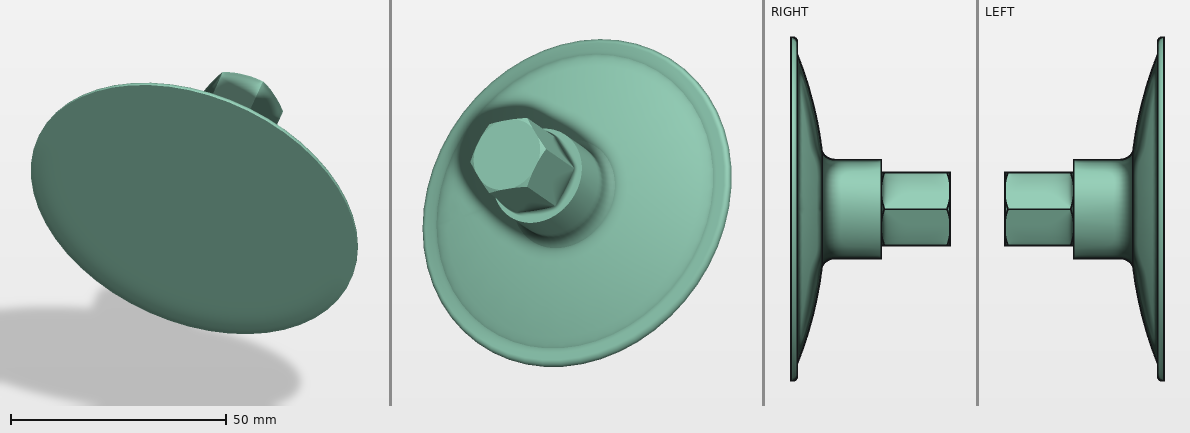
import cadquery as cq
import math


total_length = 37.0
disc_radius = 39.9

rim_thickness = 1.5
rim_round = 1.2

dome_outer_radius = 35.85
dome_mid_radius = 28.3
dome_mid_height = 4.15
dome_inner_radius = 13.25
dome_inner_height = 7.3

neck_radius = 23.0 / 2
neck_flare_height = 10.1

hex_length = 16.0
hex_across_flats = 17.0
hex_chamfer_radius = 8.6
hex_chamfer_angle = 30.0

hex_base = total_length - hex_length
hex_corner_radius = hex_across_flats / math.sqrt(3)
chamfer_height = (hex_corner_radius - hex_chamfer_radius) * math.tan(math.radians(hex_chamfer_angle))


def revolve_about_y(profile):
    return profile.close().revolve(360, (0, 0, 0), (0, 1, 0))


def make_cup():
    """Disc, dome and neck as one turned body."""
    profile = (
        cq.Workplane("XY")
        .lineTo(disc_radius, 0)
        .lineTo(disc_radius, rim_thickness - rim_round)
        .tangentArcPoint((disc_radius - rim_round, rim_thickness), relative=False)
        .lineTo(dome_outer_radius, rim_thickness)
        .threePointArc((dome_mid_radius, dome_mid_height), (dome_inner_radius, dome_inner_height))
    )
    flare_width = dome_inner_radius - neck_radius
    flare_drop = neck_flare_height - dome_inner_height
    flare_radius = (flare_width**2 + flare_drop**2) / (2 * flare_width)
    half_sweep = math.atan2(flare_width, flare_drop)
    flare_middle = (
        neck_radius + flare_radius * (1 - math.cos(half_sweep)),
        neck_flare_height - flare_radius * math.sin(half_sweep),
    )
    profile = (
        profile.threePointArc(flare_middle, (neck_radius, neck_flare_height))
        .lineTo(neck_radius, hex_base)
        .lineTo(0, hex_base)
    )
    return revolve_about_y(profile)


def make_hex():
    """Hex prism with corners on the X axis, its corners chamfered at both ends."""
    prism = (
        cq.Workplane("XZ", origin=(0, hex_base, 0))
        .polygon(6, 2 * hex_corner_radius)
        .extrude(-hex_length)
    )
    chamfer_envelope = revolve_about_y(
        cq.Workplane("XY")
        .moveTo(0, hex_base)
        .lineTo(hex_chamfer_radius, hex_base)
        .lineTo(hex_corner_radius, hex_base + chamfer_height)
        .lineTo(hex_corner_radius, total_length - chamfer_height)
        .lineTo(hex_chamfer_radius, total_length)
        .lineTo(0, total_length)
    )
    return prism.intersect(chamfer_envelope)


result = make_cup().union(make_hex())